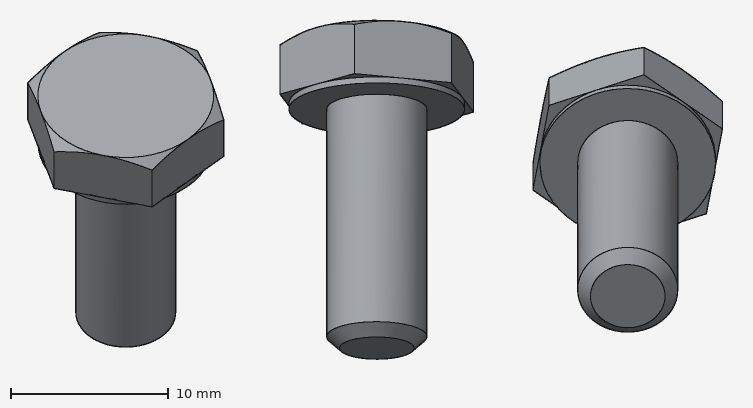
import cadquery as cq
import math

total_length = 20.02
across_flats = 11.13
head_height = 3.76
head_chamfer_angle = 30.0
collar_diameter = across_flats
collar_thickness = 0.4
shank_diameter = 6.35
tip_diameter = 4.72
tip_height = 0.76

across_corners = across_flats / math.cos(math.radians(30))
head_bottom = total_length - head_height
collar_bottom = head_bottom - collar_thickness


def make_head():
    """Hexagonal prism with its upper corners cut by a cone."""
    prism = (
        cq.Workplane("XY")
        .workplane(offset=head_bottom)
        .polygon(6, across_corners)
        .extrude(head_height)
    )
    top_radius = across_flats / 2
    cone_radius = top_radius + head_height / math.tan(math.radians(head_chamfer_angle))
    cone = (
        cq.Workplane("XZ")
        .moveTo(0, head_bottom)
        .lineTo(cone_radius, head_bottom)
        .lineTo(top_radius, total_length)
        .lineTo(0, total_length)
        .close()
        .revolve(360, (0, 0), (0, 1))
    )
    return prism.intersect(cone)


def make_shank():
    """Collar under the head, plain shank and tapered tip."""
    return (
        cq.Workplane("XZ")
        .lineTo(tip_diameter / 2, 0)
        .lineTo(shank_diameter / 2, tip_height)
        .lineTo(shank_diameter / 2, collar_bottom)
        .lineTo(collar_diameter / 2, collar_bottom)
        .lineTo(collar_diameter / 2, head_bottom)
        .lineTo(0, head_bottom)
        .close()
        .revolve(360, (0, 0), (0, 1))
    )


result = make_head().union(make_shank())